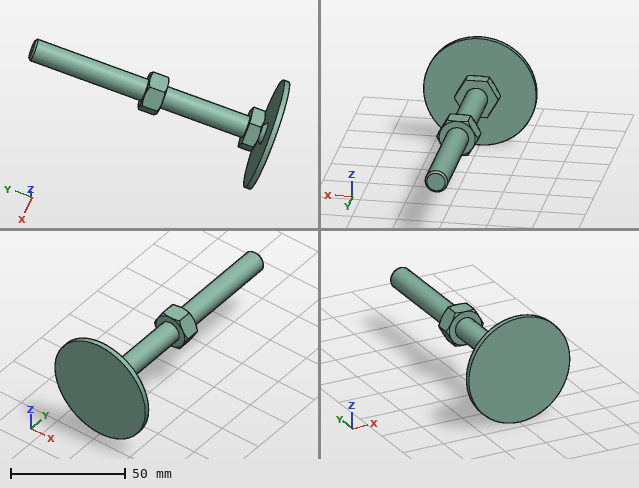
import cadquery as cq
import math


plate_diameter = 50.0
plate_thickness = 2.5

neck_height = 2.5
neck_top_diameter = 5.0
neck_base_diameter = neck_top_diameter + 2 * neck_height

rod_diameter = 10.0
rod_length = 100.0
rod_chamfer = 0.9
hexagon_across_flats = 17.0
hexagon_height = 6.0

nut_across_flats = 16.0
nut_height = 8.4

hexagon_sides = 6
corner_chamfer_angle = 30.0

hexagon_start = plate_thickness + neck_height
rod_start = hexagon_start + hexagon_height
nut_start = 50.0


def cylinder(diameter, start, length):
    """Cylinder along +Y from Y = start."""
    return cq.Workplane("XZ", origin=(0, start, 0)).circle(diameter / 2).extrude(-length)


def chamfered_hexagon(across_flats, start, height, chamfer_far_end):
    """Hexagonal prism with corners on the X axis, its corners turned off by a cone at the ends."""
    across_corners = across_flats / math.cos(math.pi / hexagon_sides)
    flat_radius = across_flats / 2
    corner_radius = across_corners / 2
    drop = (corner_radius - flat_radius) * math.tan(math.radians(corner_chamfer_angle))
    end = start + height

    prism = cq.Workplane("XZ", origin=(0, start, 0)).polygon(hexagon_sides, across_corners).extrude(-height)
    profile = (
        cq.Workplane("XY")
        .moveTo(0, start)
        .lineTo(flat_radius, start)
        .lineTo(corner_radius, start + drop)
    )
    if chamfer_far_end:
        profile = profile.lineTo(corner_radius, end - drop).lineTo(flat_radius, end)
    else:
        profile = profile.lineTo(corner_radius, end)
    turned_blank = profile.lineTo(0, end).close().revolve(360, (0, 0, 0), (0, 1, 0))
    return prism.intersect(turned_blank)


def make_foot_plate():
    """Round plate with the conical neck on its upper face."""
    neck_profile = (
        cq.Workplane("XY")
        .moveTo(0, plate_thickness)
        .lineTo(neck_base_diameter / 2, plate_thickness)
        .lineTo(neck_top_diameter / 2, hexagon_start)
        .lineTo(0, hexagon_start)
        .close()
    )
    neck = neck_profile.revolve(360, (0, 0, 0), (0, 1, 0))
    return cylinder(plate_diameter, 0, plate_thickness).union(neck)


def make_spindle():
    """Rod with a chamfered tip and a hexagon chamfered on the face towards the plate."""
    rod = cylinder(rod_diameter, rod_start, rod_length).faces(">Y").chamfer(rod_chamfer)
    hexagon = chamfered_hexagon(hexagon_across_flats, hexagon_start, hexagon_height, False)
    return hexagon.union(rod)


def make_lock_nut():
    """Hexagon nut chamfered on both faces, bored to fit the rod."""
    nut = chamfered_hexagon(nut_across_flats, nut_start, nut_height, True)
    return nut.cut(cylinder(rod_diameter, nut_start, nut_height))


foot_plate = make_foot_plate()
spindle = make_spindle()
lock_nut = make_lock_nut()

result = cq.Compound.makeCompound([foot_plate.val(), spindle.val(), lock_nut.val()])